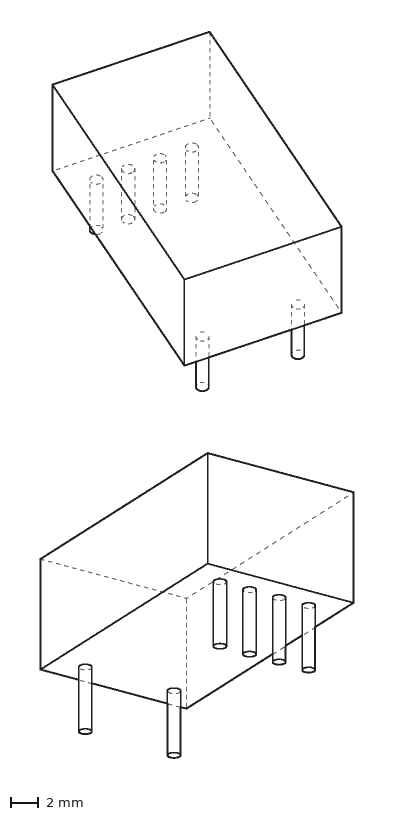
import cadquery as cq

housing_length = 22.1
housing_width = 12.55
housing_height = 8.75

total_height = 13.85
pin_length = total_height - housing_height
pin_diameter = 0.95
pin_pitch = 2.55
row_spacing = 7 * pin_pitch

row_x = row_spacing / 2
inner_y = pin_pitch / 2
outer_y = inner_y + pin_pitch
full_row = [(-row_x, y) for y in (-outer_y, -inner_y, inner_y, outer_y)]
end_row = [(row_x, y) for y in (-outer_y, outer_y)]


def make_housing():
    """Plain block with its underside at Z = 0."""
    return cq.Workplane("XY").box(
        housing_length, housing_width, housing_height, centered=(True, True, False)
    )


def make_pin(x, y):
    """Straight round pin that hangs from the underside of the housing."""
    return cq.Workplane("XY").center(x, y).circle(pin_diameter / 2).extrude(-pin_length)


housing = make_housing()
pins = [make_pin(x, y) for x, y in full_row + end_row]

result = cq.Compound.makeCompound([housing.val(), *[pin.val() for pin in pins]])